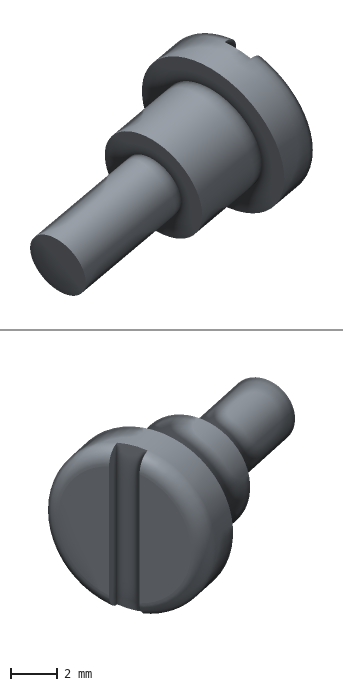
import cadquery as cq

total_length = 12.7
head_diameter = 8.13
head_height = 2.39
head_rounding = 0.79
shoulder_diameter = 5.56
shoulder_length = 3.96
shank_diameter = 3.18
slot_width = 1.5
slot_depth = 0.75

shank_length = total_length - head_height - shoulder_length
head_base = shank_length + shoulder_length


def cylinder_along_y(diameter, start, length):
    """Solid cylinder on the Y axis, from Y = start toward +Y."""
    return cq.Workplane("XZ", origin=(0, start, 0)).circle(diameter / 2).extrude(-length)


shank = cylinder_along_y(shank_diameter, 0, shank_length)
shoulder = cylinder_along_y(shoulder_diameter, shank_length, shoulder_length)
head = cylinder_along_y(head_diameter, head_base, head_height)
head = head.faces(">Y").edges().fillet(head_rounding)

slot = (
    cq.Workplane("XY")
    .box(slot_width, slot_depth, head_diameter)
    .translate((0, total_length - slot_depth / 2, 0))
)

result = shank.union(shoulder).union(head).cut(slot)